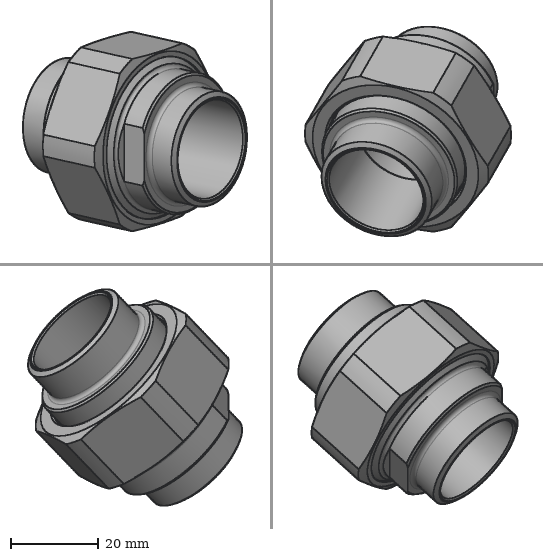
import cadquery as cq
import math


total_length = 46.0
nut_start = 13.5
nut_length = 17.0
nut_end = nut_start + nut_length
left_shoulder = 9.0
right_shoulder = 38.5

pipe_diameter = 26.9
tailpiece_bore = 22.9
body_bore = 23.1
tip_radius = 12.25
tip_angle = 30.0
bore_chamfer = 0.4
pipe_fillet = 1.0

collar_diameter = 33.0
collar_chamfer = 0.5

across_flats = 41.0
across_corners = 44.68
nut_bore = 33.5
nut_bore_chamfer = 0.5
nut_face_radius = 20.2
nut_face_angle = 20.0
corner_turn = 30.0
nut_wall = 3.5
seat = nut_start + nut_wall

flange_diameter = 36.0
flange_thickness = 3.0
joint = seat + flange_thickness

thread_diameter = 37.85
cone_small_radius = 17.5
cone_end = 31.45
cone_start = cone_end - (thread_diameter / 2 - cone_small_radius)
body_fillet = cone_small_radius - collar_diameter / 2

flats_width = 30.0
flats_start = 32.5
flats_wall_angle = 17.0

pipe_radius = pipe_diameter / 2
collar_radius = collar_diameter / 2
flange_radius = flange_diameter / 2
thread_radius = thread_diameter / 2
tip_length = (pipe_radius - tip_radius) * math.tan(math.radians(tip_angle))
middle_share = 1 - math.sqrt(0.5)
fillet_inset = pipe_fillet * middle_share
body_inset = body_fillet * middle_share


def revolve_about_x(profile):
    """Turn a closed profile of (x, radius) points around the X axis."""
    return profile.close().revolve(360, (0, 0, 0), (1, 0, 0))


def tailpiece_section():
    """Bored pipe end, collar and the flange inside the nut."""
    bore_radius = tailpiece_bore / 2
    return (
        cq.Workplane("XY")
        .moveTo(joint, bore_radius)
        .lineTo(bore_chamfer, bore_radius)
        .lineTo(0, bore_radius + bore_chamfer)
        .lineTo(0, tip_radius)
        .lineTo(tip_length, pipe_radius)
        .lineTo(left_shoulder - pipe_fillet, pipe_radius)
        .threePointArc(
            (left_shoulder - fillet_inset, pipe_radius + fillet_inset),
            (left_shoulder, pipe_radius + pipe_fillet),
        )
        .lineTo(left_shoulder, collar_radius - collar_chamfer)
        .lineTo(left_shoulder + collar_chamfer, collar_radius)
        .lineTo(seat, collar_radius)
        .lineTo(seat, flange_radius)
        .lineTo(joint, flange_radius)
    )


def body_section():
    """Bored pipe end, collar, cone and the thread inside the nut."""
    bore_radius = body_bore / 2
    return (
        cq.Workplane("XY")
        .moveTo(joint, bore_radius)
        .lineTo(total_length - bore_chamfer, bore_radius)
        .lineTo(total_length, bore_radius + bore_chamfer)
        .lineTo(total_length, tip_radius)
        .lineTo(total_length - tip_length, pipe_radius)
        .lineTo(right_shoulder + pipe_fillet, pipe_radius)
        .threePointArc(
            (right_shoulder + fillet_inset, pipe_radius + fillet_inset),
            (right_shoulder, pipe_radius + pipe_fillet),
        )
        .lineTo(right_shoulder, collar_radius - collar_chamfer)
        .lineTo(right_shoulder - collar_chamfer, collar_radius)
        .lineTo(cone_end + body_fillet, collar_radius)
        .threePointArc(
            (cone_end + body_inset, collar_radius + body_inset),
            (cone_end, cone_small_radius),
        )
        .lineTo(cone_start, thread_radius)
        .lineTo(joint, thread_radius)
    )


def flat_cutter(side):
    """Block that cuts one wrench flat, with a wall leaning back at its nut end."""
    flat_y = flats_width / 2
    cut_depth = thread_radius - flat_y
    wall_lean = cut_depth * math.tan(math.radians(flats_wall_angle))
    return (
        cq.Workplane("XY")
        .moveTo(flats_start, side * flat_y)
        .lineTo(right_shoulder, side * flat_y)
        .lineTo(right_shoulder, side * thread_radius)
        .lineTo(flats_start - wall_lean, side * thread_radius)
        .close()
        .extrude(collar_radius, both=True)
    )


def make_tailpiece():
    return revolve_about_x(tailpiece_section())


def make_body():
    body = revolve_about_x(body_section())
    for side in (-1, 1):
        body = body.cut(flat_cutter(side))
    return body


def nut_envelope():
    """Turned shape of the nut: rounded corners, coned faces and the stepped bore."""
    corner_radius = across_corners / 2
    bore_radius = nut_bore / 2
    face_chamfer = (corner_radius - nut_face_radius) * math.tan(math.radians(nut_face_angle))
    return revolve_about_x(
        cq.Workplane("XY")
        .moveTo(nut_start, bore_radius + nut_bore_chamfer)
        .lineTo(nut_start, nut_face_radius)
        .lineTo(nut_start + face_chamfer, corner_radius)
        .lineTo(nut_end - face_chamfer, corner_radius)
        .lineTo(nut_end, nut_face_radius)
        .lineTo(nut_end, thread_radius)
        .lineTo(seat, thread_radius)
        .lineTo(seat, bore_radius)
        .lineTo(nut_start + nut_bore_chamfer, bore_radius)
    )


def make_nut():
    """Hexagon with corners on the Y axis and flats at the top and bottom."""
    hexagon = (
        cq.Workplane("YZ", origin=(nut_start, 0, 0))
        .polygon(6, across_flats, circumscribed=True)
        .extrude(nut_length)
        .rotate((0, 0, 0), (1, 0, 0), corner_turn)
    )
    return nut_envelope().intersect(hexagon)


tailpiece = make_tailpiece()
nut = make_nut()
body = make_body()

result = cq.Compound.makeCompound([tailpiece.val(), nut.val(), body.val()])